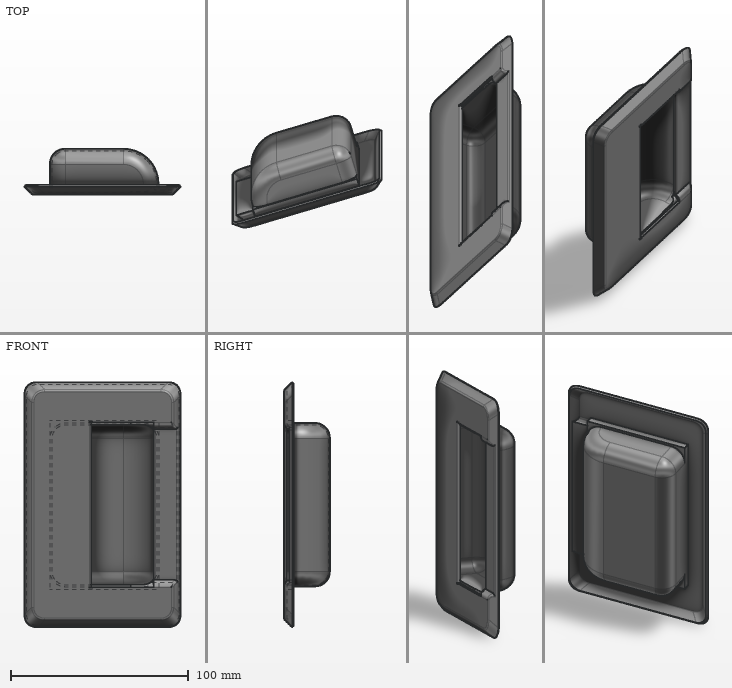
import cadquery as cq
import math


plate_width = 88.0
plate_height = 138.0
sheet = 1.5
rim_angle = 45
rim_depth = 4.5
bend_radius = 1.8
corner_radius = 10.4
rim_edge = sheet * math.sin(math.radians(rim_angle))
plate_back = rim_depth + rim_edge

window_left = -6.3
window_right = 28.8
window_half_height = 46.4
window_edge_radius = 1.2
relief_width = 2.0
relief_rise = 0.4

panel_depth = 2.9
panel_roll_run = 4.0
panel_edge_radius = 1.0
roll_radius = (panel_roll_run**2 + panel_depth**2) / (2 * panel_depth)

total_depth = 26.0
cup_left = -29.7
cup_right = 31.6
cup_half_height = 46.1
cup_wall = 1.1
cup_round = 8.7
cup_arc_radius = 20.0
collar_overlap = 1.1
collar_roll_left = 15.9

overrun = 6.9
pick_margin = 0.1


def block(x_min, x_max, y_min, y_max, half_height):
    """Box that is symmetric about Z = 0."""
    size = (x_max - x_min, y_max - y_min, 2 * half_height)
    return cq.Workplane("XY").box(*size, centered=False).translate((x_min, y_min, -half_height))


def tapered_slab(y_front, y_end, outset, radius):
    """Slab between two depths whose four sides spread at 45 degrees with depth.

    Its outline at the rim depth is the plate's outline moved out by the outset.
    The mitred corners are rounded before the slab is trimmed to its final depths.
    """
    y_base = y_end + overrun
    spread = 2 * (y_base - rim_depth + outset)
    slab = (
        cq.Workplane("XZ", origin=(0, y_base, 0))
        .rect(plate_width + spread, plate_height + spread)
        .extrude(y_base - y_front + overrun, taper=rim_angle)
        .edges("not(|X or |Y or |Z)")
        .fillet(radius)
    )
    return slab.intersect(block(-plate_width, plate_width, y_front, y_end, plate_height))


def bezel_outside():
    """Solid bounded by the plate's front, its rims and the square-cut rim edges."""
    front = tapered_slab(0, rim_depth, 0, corner_radius)
    front = front.faces("<Y").edges().fillet(bend_radius)
    back = tapered_slab(rim_depth - 2 * rim_edge, rim_depth, 0, corner_radius)
    return front.union(back.mirror("XZ", (0, rim_depth, 0)))


def bezel_inside():
    """Hollow behind the plate, one sheet thickness inside its front and rims."""
    shift = sheet * math.sqrt(2)
    hollow = tapered_slab(sheet, plate_back + overrun, -shift, corner_radius - sheet)
    return hollow.faces("<Y").edges().fillet(bend_radius - sheet)


def press_volume(x_start, front_y):
    """Space in front of the pressed panel and its rolled ends, from x_start to the right.

    A front_y of 0 gives the sheet's front surface, and the sheet thickness gives its back.
    """
    x_end = plate_width / 2 + overrun
    radius = roll_radius - front_y
    floor_y = panel_depth + front_y
    end_angle = math.acos(max(0, (roll_radius - floor_y) / radius))

    def roll_point(angle):
        return (roll_radius - radius * math.cos(angle), window_half_height - radius * math.sin(angle))

    end_y, end_z = roll_point(end_angle)
    upper_half = (
        cq.Workplane("YZ", origin=(x_start, 0, 0))
        .moveTo(-overrun, 0)
        .lineTo(-overrun, window_half_height)
        .lineTo(front_y, window_half_height)
        .threePointArc(roll_point(end_angle / 2), (end_y, end_z))
        .lineTo(end_y, 0)
        .close()
        .extrude(x_end - x_start)
    )
    flat = block(x_start, x_end, -overrun, floor_y, end_z)
    return upper_half.union(upper_half.mirror("XY")).union(flat).clean()


def corner_reliefs():
    """Notches just above and below the window at its left corners."""
    left = window_left - window_edge_radius
    right = left + relief_width
    tall_block = block(left, right, -overrun, plate_back, window_half_height + relief_rise)
    return tall_block.cut(block(left, right, -overrun, plate_back, window_half_height))


def front_edge(x, y):
    """Selects the upright edge that crosses Z = 0 at the given place."""
    return cq.selectors.BoxSelector(
        (x - pick_margin, y - pick_margin, -pick_margin),
        (x + pick_margin, y + pick_margin, pick_margin),
    )


def make_plate():
    """Bezel sheet with its window and the finger panel."""
    outside = bezel_outside().cut(press_volume(window_right, 0))
    flat_right = plate_width / 2 - rim_depth
    panel_rim_edges = cq.selectors.BoxSelector(
        (flat_right, pick_margin, -window_half_height),
        (plate_width / 2 - pick_margin, rim_depth - pick_margin, window_half_height),
    )
    outside = outside.edges(panel_rim_edges).fillet(bend_radius)
    inside = bezel_inside().cut(press_volume(window_right, sheet))
    plate = outside.cut(inside)

    window = block(window_left, window_right, -overrun, plate_back, window_half_height)
    plate = plate.cut(window)
    plate = plate.edges(front_edge(window_left, 0)).fillet(window_edge_radius)
    plate = plate.edges(front_edge(window_right, panel_depth)).fillet(panel_edge_radius)
    return plate.cut(corner_reliefs())


def cup_form(inset):
    """Cup shape from the plate's back to the cup floor, moved in by the inset."""
    left = cup_left + inset
    right = cup_right - inset
    floor = total_depth - inset
    half_height = cup_half_height - inset
    arc_radius = cup_arc_radius - inset
    arc_x = right - arc_radius
    arc_y = floor - arc_radius
    diagonal = arc_radius * math.sqrt(0.5)
    form = (
        cq.Workplane("XY", origin=(0, 0, -half_height))
        .moveTo(left, sheet)
        .lineTo(left, floor)
        .lineTo(arc_x, floor)
        .threePointArc((arc_x + diagonal, arc_y + diagonal), (right, arc_y))
        .lineTo(right, sheet)
        .close()
        .extrude(2 * half_height)
    )
    end_edges = form.faces("|Z").edges("not <Y")
    left_edge = form.edges("|Z").edges("<X").edges(">Y")
    return end_edges.add(left_edge).fillet(cup_round - inset)


def make_cup():
    """Hollow cup with a collar that lies against the back of the plate and panel."""
    collar = block(cup_left, cup_right, sheet, plate_back, window_half_height + collar_overlap)
    cup = cup_form(0).union(collar).cut(cup_form(cup_wall))
    return cup.cut(press_volume(collar_roll_left, sheet))


plate = make_plate()
cup = make_cup()

result = cq.Compound.makeCompound([plate.solids().val(), cup.solids().val()])